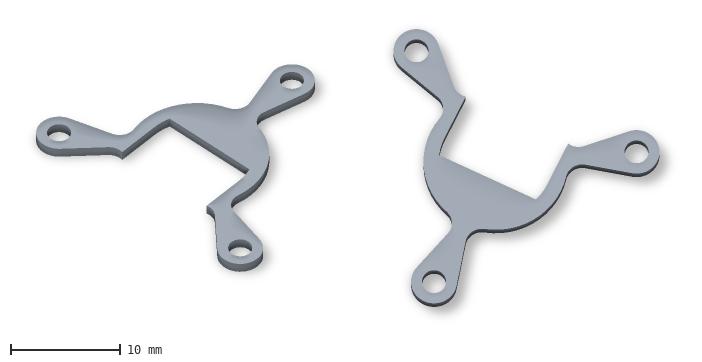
import cadquery as cq
import math

thickness = 1.0
hub_radius = 6.6
lug_count = 3
lug_circle_radius = 12.9
lug_radius = 2.1
lug_hole_diameter = 2.2
arm_taper_angle = 15.0
neck_fillet_radius = 1.5
opening_radius = 5.2
opening_top_y = 1.7

lug_angles = [90 + i * 360 / lug_count for i in range(lug_count)]
lug_centers = [
    (lug_circle_radius * math.cos(math.radians(a)), lug_circle_radius * math.sin(math.radians(a)))
    for a in lug_angles
]


def make_arm(angle):
    """Lug with sides tangent to its rim that converge to a point inside the hub."""
    taper = math.radians(arm_taper_angle)
    tangent_x = lug_circle_radius - lug_radius * math.sin(taper)
    tangent_y = lug_radius * math.cos(taper)
    apex_x = lug_circle_radius - lug_radius / math.sin(taper)
    arm = (
        cq.Workplane("XY")
        .moveTo(apex_x, 0)
        .lineTo(tangent_x, -tangent_y)
        .threePointArc((lug_circle_radius + lug_radius, 0), (tangent_x, tangent_y))
        .close()
        .extrude(thickness)
    )
    return arm.rotate((0, 0, 0), (0, 0, 1), angle)


def make_blank():
    """Round hub with its arms, blended where the arm sides meet the hub rim."""
    blank = cq.Workplane("XY").circle(hub_radius).extrude(thickness)
    for angle in lug_angles:
        blank = blank.union(make_arm(angle))

    neck_reach = hub_radius + lug_radius / 2
    neck_zone = cq.selectors.BoxSelector(
        (-neck_reach, -neck_reach, 0), (neck_reach, neck_reach, thickness)
    )
    return blank.edges("|Z").edges(neck_zone).fillet(neck_fillet_radius)


def make_opening():
    """Round-shouldered slot with a flat upper edge, open toward -Y."""
    shoulder_x = math.sqrt(opening_radius**2 - opening_top_y**2)
    shoulder_angle = math.asin(opening_top_y / opening_radius) / 2
    mid_x = opening_radius * math.cos(shoulder_angle)
    mid_y = opening_radius * math.sin(shoulder_angle)
    open_end_y = -2 * hub_radius
    return (
        cq.Workplane("XY")
        .moveTo(-opening_radius, open_end_y)
        .lineTo(-opening_radius, 0)
        .threePointArc((-mid_x, mid_y), (-shoulder_x, opening_top_y))
        .lineTo(shoulder_x, opening_top_y)
        .threePointArc((mid_x, mid_y), (opening_radius, 0))
        .lineTo(opening_radius, open_end_y)
        .close()
        .extrude(thickness)
    )


lug_holes = (
    cq.Workplane("XY").pushPoints(lug_centers).circle(lug_hole_diameter / 2).extrude(thickness)
)

result = make_blank().cut(make_opening()).cut(lug_holes)